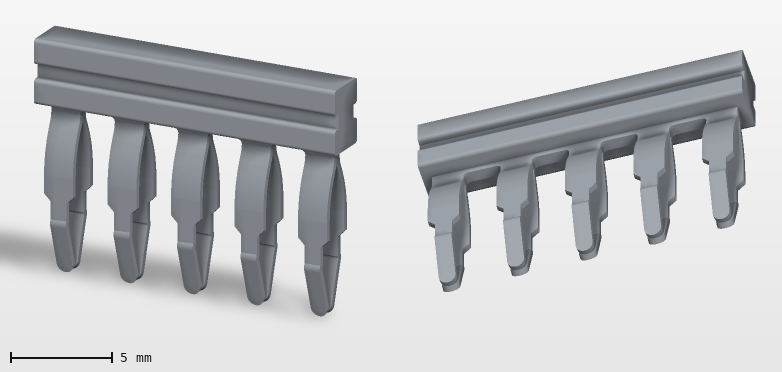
import cadquery as cq
import math

HOUSING_LENGTH = 16.6
HOUSING_DEPTH = 2.4
HOUSING_HEIGHT = 3.4
GROOVE_HEIGHT = 0.76
GROOVE_DEPTH = 0.4
FLANGE_RADIUS = 0.2

CONTACT_COUNT = 5
CONTACT_PITCH = 3.5
CONTACT_WIDTH = 1.6
WEB_HEIGHT = 0.3
WEB_RADIUS = 0.23
SHEET = 0.3

NECK_HEIGHT = WEB_HEIGHT + WEB_RADIUS
LEAN = math.radians(25)
NECK_BEND_RADIUS = 1.0
LEAN_LENGTH = 0.45
LEG_OUTER_Y = 1.08

SHOULDER_DEPTH = 4.58
BLADE_WIDTH = 0.86
SHOULDER_CHAMFER = (CONTACT_WIDTH - BLADE_WIDTH) / 2
LIP_RADIUS = 0.42
INNER_LIP_RADIUS = LIP_RADIUS - SHEET
LIP_CENTER = (0.73, -6.1)
BLADE_SLANT = math.radians(17.7)
TIP_DEPTH = 8.81


def polar(center, radius, angle):
    """(Y, Z) point on a circle; the angle is measured from +Y towards +Z."""
    return (center[0] + radius * math.cos(angle), center[1] + radius * math.sin(angle))


def along_blade(start, distance):
    """(Y, Z) point at a distance down the blade's slanted direction."""
    return (start[0] - distance * math.sin(BLADE_SLANT), start[1] - distance * math.cos(BLADE_SLANT))


LIP_END = -BLADE_SLANT
LIP_OUTER_END = polar(LIP_CENTER, LIP_RADIUS, LIP_END)
LIP_INNER_END = polar(LIP_CENTER, INNER_LIP_RADIUS, LIP_END)
BLADE_LENGTH = (TIP_DEPTH + LIP_OUTER_END[1]) / math.cos(BLADE_SLANT) - BLADE_WIDTH / 2


def make_housing():
    """H-shaped bar with a groove along its front and back and rounded flanges."""
    bar = cq.Workplane("XY").box(HOUSING_LENGTH, HOUSING_DEPTH, HOUSING_HEIGHT)
    bar = bar.translate((0, 0, HOUSING_HEIGHT / 2))
    groove = cq.Workplane("XY").box(HOUSING_LENGTH, GROOVE_DEPTH, GROOVE_HEIGHT)
    groove_y = (HOUSING_DEPTH - GROOVE_DEPTH) / 2
    for side in (-1, 1):
        bar = bar.cut(groove.translate((0, side * groove_y, HOUSING_HEIGHT / 2)))
    outer_edges = bar.faces("<Y or >Y").edges("|X")
    return outer_edges.fillet(FLANGE_RADIUS).solids()


def make_bent_sheet():
    """Side profile of the +Y leg from neck to blade, as a sheet of the full contact width."""
    bend_center = (SHEET + NECK_BEND_RADIUS, -NECK_HEIGHT)
    inner_bend_radius = NECK_BEND_RADIUS + SHEET
    bend_end = polar(bend_center, NECK_BEND_RADIUS, math.pi + LEAN)
    flat_end = (
        bend_end[0] + LEAN_LENGTH * math.sin(LEAN),
        bend_end[1] - LEAN_LENGTH * math.cos(LEAN),
    )

    bow_radius = (LEG_OUTER_Y - flat_end[0]) / (1 - math.cos(LEAN))
    inner_bow_radius = bow_radius - SHEET
    bow_center = (LEG_OUTER_Y - bow_radius, flat_end[1] - bow_radius * math.sin(LEAN))

    leg_inner_y = LEG_OUTER_Y - SHEET
    lip_start = math.acos((LEG_OUTER_Y - LIP_CENTER[0]) / LIP_RADIUS)
    inner_lip_start = math.acos((leg_inner_y - LIP_CENTER[0]) / INNER_LIP_RADIUS)

    profile = (
        cq.Workplane("YZ")
        .moveTo(SHEET, 0)
        .lineTo(SHEET, -NECK_HEIGHT)
        .threePointArc(polar(bend_center, NECK_BEND_RADIUS, math.pi + LEAN / 2), bend_end)
        .lineTo(*flat_end)
        .threePointArc(polar(bow_center, bow_radius, LEAN / 2), polar(bow_center, bow_radius, 0))
        .lineTo(*polar(LIP_CENTER, LIP_RADIUS, lip_start))
        .threePointArc(polar(LIP_CENTER, LIP_RADIUS, (lip_start + LIP_END) / 2), LIP_OUTER_END)
        .lineTo(*along_blade(LIP_OUTER_END, BLADE_LENGTH))
        .lineTo(*along_blade(LIP_INNER_END, BLADE_LENGTH))
        .lineTo(*LIP_INNER_END)
        .threePointArc(
            polar(LIP_CENTER, INNER_LIP_RADIUS, (inner_lip_start + LIP_END) / 2),
            polar(LIP_CENTER, INNER_LIP_RADIUS, inner_lip_start),
        )
        .lineTo(*polar(bow_center, inner_bow_radius, 0))
        .threePointArc(
            polar(bow_center, inner_bow_radius, LEAN / 2),
            polar(bow_center, inner_bow_radius, LEAN),
        )
        .lineTo(*polar(bend_center, inner_bend_radius, math.pi + LEAN))
        .threePointArc(polar(bend_center, inner_bend_radius, math.pi + LEAN / 2), (0, -NECK_HEIGHT))
        .lineTo(0, 0)
        .close()
    )
    return profile.extrude(CONTACT_WIDTH / 2, both=True)


def make_front_outline():
    """Block with the leg's width: wide above the chamfered shoulder, narrow below it."""
    half_width = CONTACT_WIDTH / 2
    half_blade = BLADE_WIDTH / 2
    shoulder_end = SHOULDER_DEPTH + SHOULDER_CHAMFER
    return (
        cq.Workplane("XZ")
        .moveTo(-half_width, 0)
        .lineTo(-half_width, -SHOULDER_DEPTH)
        .lineTo(-half_blade, -shoulder_end)
        .lineTo(-half_blade, -TIP_DEPTH)
        .lineTo(half_blade, -TIP_DEPTH)
        .lineTo(half_blade, -shoulder_end)
        .lineTo(half_width, -SHOULDER_DEPTH)
        .lineTo(half_width, 0)
        .close()
        .extrude(HOUSING_DEPTH / 2, both=True)
    )


def make_round_tip():
    """Disc that rounds off the end of the slanted blade."""
    tip_y, tip_z = along_blade(LIP_INNER_END, BLADE_LENGTH)
    blade_normal = cq.Vector(0, math.cos(LIP_END), math.sin(LIP_END))
    tip_center = cq.Vector(0, tip_y, tip_z)
    disc = cq.Solid.makeCylinder(BLADE_WIDTH / 2, SHEET, tip_center, blade_normal)
    return cq.Workplane(obj=disc)


def make_web():
    """Straight bridge under the housing with rounded corners between the contacts."""
    row_length = (CONTACT_COUNT - 1) * CONTACT_PITCH + CONTACT_WIDTH
    gap = CONTACT_PITCH - CONTACT_WIDTH
    web = cq.Workplane("XY").box(row_length, 2 * SHEET, NECK_HEIGHT)
    web = web.translate((0, 0, -NECK_HEIGHT / 2))
    notch = cq.Workplane("XY").box(gap, 2 * SHEET, 2 * WEB_RADIUS)
    notch = notch.edges("|Y and >Z").fillet(WEB_RADIUS)
    for index in range(CONTACT_COUNT - 1):
        gap_x = (index - (CONTACT_COUNT - 2) / 2) * CONTACT_PITCH
        web = web.cut(notch.translate((gap_x, 0, -NECK_HEIGHT)))
    return web


def make_contact_comb():
    """All spring contacts with their connecting web, as one solid."""
    leg = make_bent_sheet().intersect(make_front_outline()).union(make_round_tip())
    contact = leg.union(leg.mirror("XZ"))
    comb = make_web()
    for index in range(CONTACT_COUNT):
        contact_x = (index - (CONTACT_COUNT - 1) / 2) * CONTACT_PITCH
        comb = comb.union(contact.translate((contact_x, 0, 0)))
    return comb.solids()


housing = make_housing()
contact_comb = make_contact_comb()

result = cq.Compound.makeCompound([housing.val(), contact_comb.val()])